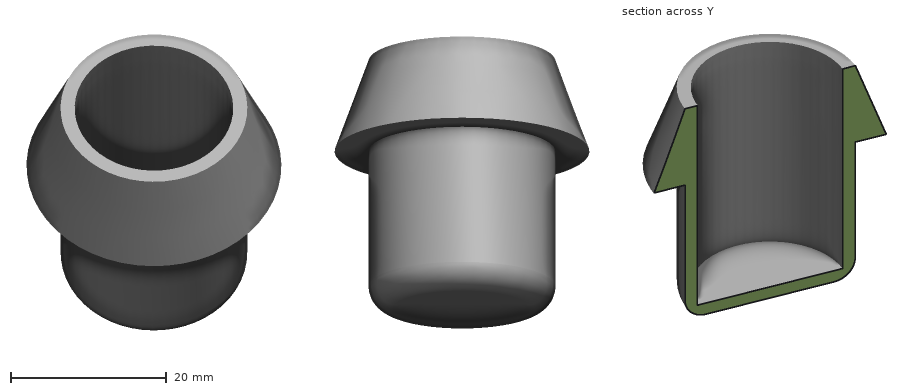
import cadquery as cq
import math

total_height = 33.0
body_diameter = 24.0
head_height = 12.0
head_taper_angle = 20.0
bottom_radius = 3.0
wall_thickness = 1.8
floor_thickness = wall_thickness

body_radius = body_diameter / 2
head_flare = head_height * math.tan(math.radians(head_taper_angle))
head_radius = body_radius + head_flare
bore_radius = body_radius - wall_thickness
head_base_z = total_height - head_height


def make_body():
    """Cylindrical plug with a rounded lower rim."""
    body = cq.Workplane("XY").circle(body_radius).extrude(total_height)
    return body.faces("<Z").edges().fillet(bottom_radius)


def make_head():
    """Conical head, narrowing upward to the body diameter."""
    return (
        cq.Workplane("XY", origin=(0, 0, head_base_z))
        .circle(head_radius)
        .extrude(head_height, taper=head_taper_angle)
    )


def make_bore():
    """Blind, flat-bottomed bore open at the top."""
    bore_depth = total_height - floor_thickness
    return (
        cq.Workplane("XY", origin=(0, 0, floor_thickness))
        .circle(bore_radius)
        .extrude(bore_depth)
    )


result = make_body().union(make_head()).cut(make_bore())